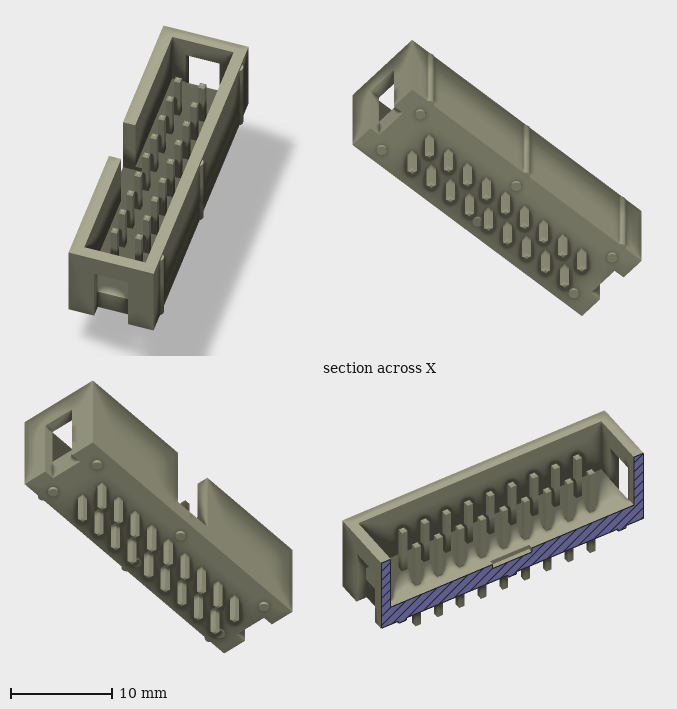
import cadquery as cq

body_width = 8.85
body_length = 30.52
body_height = 8.85
floor_thickness = 2.38
key_side_wall = 1.28
rib_side_wall = 1.2
end_wall = 1.13

notch_width = 4.52
notch_depth = 2.05
notch_sill_height = 1.83

slot_width = 3.5
slot_height = 6.53
slot_floor_bite = 0.05
slot_depth = end_wall + slot_floor_bite

pin_rows = 9
pin_columns = 2
pin_pitch = 2.53
pin_size = 0.65
pin_tip_chamfer = 0.18
pin_top = 7.7
pin_drop = 3.25

round_diameter = 1.0
rib_projection = 0.25
rib_top_gap = 0.37
rib_height = body_height - rib_top_gap
foot_height = 0.3
foot_columns = 2
foot_spacing_x = 5.7
support_spacing_y = 12.75
support_rows = 3


def box(size_x, size_y, size_z):
    """Box centred on X and Y with its base at Z = 0."""
    return cq.Workplane("XY").box(size_x, size_y, size_z, centered=(True, True, False))


def make_housing():
    cavity_width = body_width - key_side_wall - rib_side_wall
    cavity_length = body_length - 2 * end_wall
    cavity_center_x = (key_side_wall - rib_side_wall) / 2
    cavity = box(cavity_width, cavity_length, body_height - floor_thickness)
    cavity = cavity.translate((cavity_center_x, 0, floor_thickness))
    return box(body_width, body_length, body_height).cut(cavity)


def make_notch():
    notch = box(notch_depth, notch_width, body_height - notch_sill_height)
    return notch.translate(((notch_depth - body_width) / 2, 0, notch_sill_height))


def make_end_slot(end):
    """Slot cutter at the end given by the sign of Y."""
    slot = box(slot_width, slot_depth, slot_height)
    return slot.translate((0, end * (body_length - slot_depth) / 2, 0))


def make_pins():
    pin = box(pin_size, pin_size, pin_top + pin_drop).faces("<Z or >Z").chamfer(pin_tip_chamfer)
    pin = pin.translate((0, 0, -pin_drop)).val()
    grid = cq.Workplane("XY").rarray(pin_pitch, pin_pitch, pin_columns, pin_rows)
    return grid.eachpoint(lambda location: pin.moved(location))


def make_ribs():
    rib_center_x = body_width / 2 + rib_projection - round_diameter / 2
    ribs = cq.Workplane("XY").rarray(0.3, support_spacing_y, 1, support_rows)
    return ribs.circle(round_diameter / 2).extrude(rib_height).translate((rib_center_x, 0, 0))


def make_feet():
    feet = cq.Workplane("XY").rarray(foot_spacing_x, support_spacing_y, foot_columns, support_rows)
    return feet.circle(round_diameter / 2).extrude(-foot_height)


housing = make_housing().cut(make_notch())
for end in (-1, 1):
    housing = housing.cut(make_end_slot(end))

result = housing.union(make_ribs()).union(make_feet()).union(make_pins())